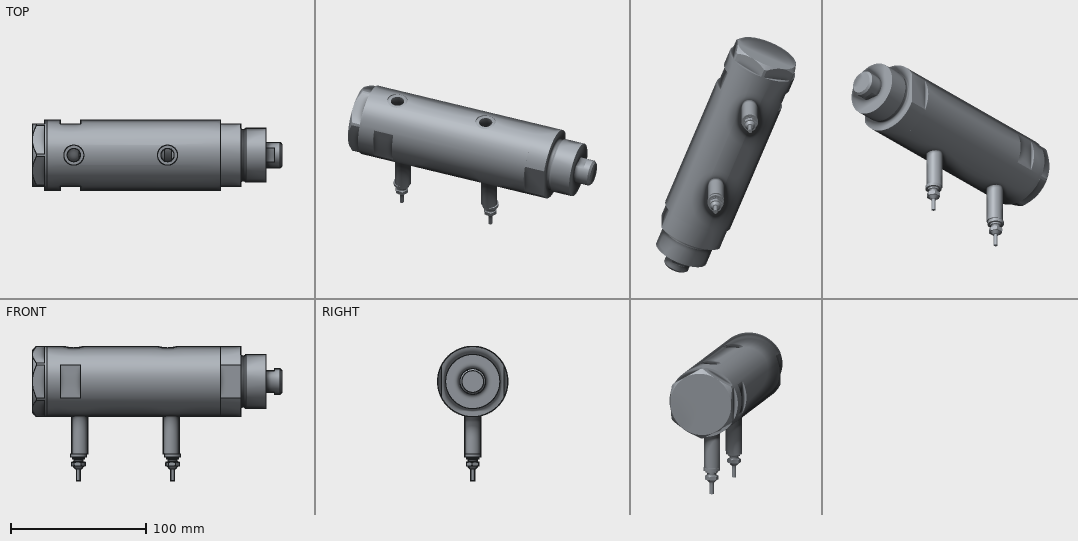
import cadquery as cq
import math


body_radius = 26.0
bore_radius = 16.0
across_flats = 46.0
flat_length = 15.0
flat_distance = across_flats / 2

hex_end = 9.0
cap_flange_end = 10.7
wrench_flat_start = 20.6
cap_spigot_end = 34.6
piston_end = 97.4
head_spigot_start = 102.6
head_pilot_end = 107.0
head_start = 139.0
head_shoulder = head_start + flat_length
relief_end = 157.8
nose_end = 172.5
rod_end = 184.4

cap_corner_chamfer = body_radius - flat_distance

head_spigot_radius = 22.4
head_pilot_radius = 21.6
nose_radius = 20.0
relief_depth = 1.0
relief_taper_start = 156.4

rod_radius = 9.5
rod_across_flats = 16.0
rod_flat_end = 178.6
rod_tip_chamfer = 1.5

cap_port_x = 30.6
head_port_x = 99.8
port_radius = 4.9
spotface_radius = 7.4
spotface_z = 24.8

tube_radius = 6.0
tube_end_z = -53.5
cap_tube_x = 35.0
head_tube_x = 102.5
sensor_offset = 1.0
collar_end_z = -55.8
collar_neck_radius = 4.2
rim_radius = 4.5
rim_top_z = -56.5
rim_bottom_z = -57.1
neck_radius = 3.4
shoulder_radius = 3.8
neck_top_z = -57.6
neck_bottom_z = -58.8
nut_top_z = -59.5
nut_bottom_z = -62.5
nut_across_flats = 9.0
nut_corner_chamfer = 0.5
nut_turn = 7.0
taper_end_z = -64.6
taper_end_radius = 2.2
cable_radius = 1.5
cable_end_z = -73.4


def x_cylinder(radius, start, end):
    return cq.Workplane("YZ", origin=(start, 0, 0)).circle(radius).extrude(end - start)


def z_cylinder(radius, x, z_start, z_end):
    return cq.Workplane("XY", origin=(x, 0, z_start)).circle(radius).extrude(z_end - z_start)


def hexagon_corner_diameter(flats):
    return flats / math.cos(math.radians(30))


def wrench_flat_cutter(distance, start, end):
    """Two blocks that leave parallel flats facing -Y and +Y at the given distance from the axis."""
    thickness = body_radius
    width = 2 * body_radius
    center_offset = distance + thickness / 2
    return (
        cq.Workplane("XY", origin=((start + end) / 2, 0, 0))
        .pushPoints([(0, -center_offset), (0, center_offset)])
        .box(end - start, thickness, width)
    )


def make_housing():
    housing = x_cylinder(body_radius, cap_flange_end, head_start)
    for x in (cap_tube_x, head_tube_x):
        housing = housing.union(z_cylinder(tube_radius, x, tube_end_z, -bore_radius))
    housing = housing.cut(x_cylinder(bore_radius, cap_flange_end, head_start))
    housing = housing.cut(x_cylinder(head_spigot_radius, head_spigot_start, head_start))
    housing = housing.cut(
        wrench_flat_cutter(flat_distance, wrench_flat_start, wrench_flat_start + flat_length)
    )
    for x in (cap_port_x, head_port_x):
        housing = housing.cut(z_cylinder(spotface_radius, x, spotface_z, body_radius))
        housing = housing.cut(z_cylinder(port_radius, x, 0, spotface_z))
    return housing


def make_cap():
    hexagon = (
        cq.Workplane("YZ")
        .polygon(6, hexagon_corner_diameter(across_flats))
        .extrude(hex_end)
        .rotate((0, 0, 0), (1, 0, 0), 30)
    )
    turned_blank = x_cylinder(body_radius, 0, hex_end).faces("<X").chamfer(cap_corner_chamfer)
    cap = hexagon.intersect(turned_blank)
    cap = cap.union(x_cylinder(body_radius, hex_end, cap_flange_end))
    return cap.union(x_cylinder(bore_radius, cap_flange_end, cap_spigot_end))


def make_head():
    relief_radius = nose_radius - relief_depth
    arc_inset = relief_depth * (1 - math.sqrt(0.5))
    head = (
        cq.Workplane("XY")
        .moveTo(head_spigot_start, rod_radius)
        .lineTo(head_spigot_start, head_pilot_radius)
        .lineTo(head_pilot_end, head_pilot_radius)
        .lineTo(head_pilot_end, head_spigot_radius)
        .lineTo(head_start, head_spigot_radius)
        .lineTo(head_start, body_radius)
        .lineTo(head_shoulder, body_radius)
        .lineTo(head_shoulder, nose_radius)
        .threePointArc(
            (head_shoulder + arc_inset, relief_radius + arc_inset),
            (head_shoulder + relief_depth, relief_radius),
        )
        .lineTo(relief_taper_start, relief_radius)
        .lineTo(relief_end, nose_radius)
        .lineTo(nose_end, nose_radius)
        .lineTo(nose_end, rod_radius)
        .close()
        .revolve(360, (0, 0, 0), (1, 0, 0))
    )
    return head.cut(wrench_flat_cutter(flat_distance, head_start, head_shoulder))


def make_piston_rod():
    rod = x_cylinder(rod_radius, cap_spigot_end, rod_end).faces(">X").chamfer(rod_tip_chamfer)
    rod = rod.union(x_cylinder(bore_radius, cap_spigot_end, piston_end))
    flat_cutter = wrench_flat_cutter(rod_across_flats / 2, nose_end, rod_flat_end)
    return rod.cut(flat_cutter.rotate((0, 0, 0), (1, 0, 0), 90))


def make_sensor(x):
    turned = (
        cq.Workplane("XZ")
        .moveTo(0, tube_end_z)
        .lineTo(tube_radius, tube_end_z)
        .lineTo(tube_radius, collar_end_z)
        .lineTo(collar_neck_radius, collar_end_z)
        .lineTo(collar_neck_radius, rim_top_z)
        .lineTo(rim_radius, rim_top_z)
        .lineTo(rim_radius, rim_bottom_z)
        .lineTo(shoulder_radius, rim_bottom_z)
        .lineTo(neck_radius, neck_top_z)
        .lineTo(neck_radius, neck_bottom_z)
        .lineTo(shoulder_radius, nut_top_z)
        .lineTo(shoulder_radius, nut_bottom_z)
        .lineTo(taper_end_radius, taper_end_z)
        .lineTo(cable_radius, taper_end_z)
        .lineTo(cable_radius, cable_end_z)
        .lineTo(0, cable_end_z)
        .close()
        .revolve(360, (0, 0, 0), (0, 1, 0))
    )
    corner_diameter = hexagon_corner_diameter(nut_across_flats)
    nut_height = nut_top_z - nut_bottom_z
    nut = (
        cq.Workplane("XY", origin=(0, 0, nut_bottom_z))
        .polygon(6, corner_diameter)
        .extrude(nut_height)
        .rotate((0, 0, 0), (0, 0, 1), -nut_turn)
    )
    nut_blank = z_cylinder(corner_diameter / 2, 0, nut_bottom_z, nut_top_z)
    nut = nut.intersect(nut_blank.faces("<Z or >Z").chamfer(nut_corner_chamfer))
    return turned.union(nut).translate((x, 0, 0))


housing = make_housing()
cap = make_cap()
head = make_head()
piston_rod = make_piston_rod()

sensors = [make_sensor(x) for x in (cap_tube_x - sensor_offset, head_tube_x + sensor_offset)]

bodies = [housing, cap, head, piston_rod, *sensors]
result = cq.Compound.makeCompound([body.solids().val() for body in bodies])